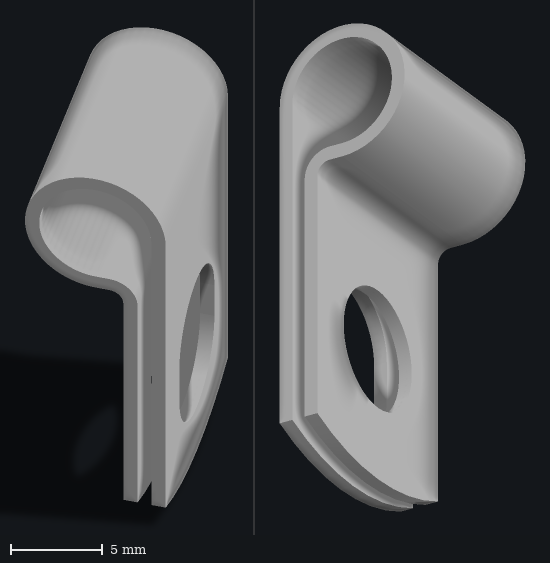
import cadquery as cq
import math

height = 24.55
width = 12.7
loop_diameter = 7.98
thickness = 0.8
leg_gap = 0.79
bend_inner_radius = 0.79
hole_diameter = 7.15
hole_height = 7.93
slot_offset = 1.13
end_sagitta = 1.33

outer_radius = loop_diameter / 2
inner_radius = outer_radius - thickness
bottom = outer_radius - height
short_leg_right = inner_radius - leg_gap
short_leg_left = short_leg_right - thickness
bend_outer_radius = bend_inner_radius + thickness
bend_x = short_leg_right - bend_outer_radius
bend_z = -inner_radius - bend_outer_radius
diagonal = math.sqrt(0.5)


def make_strip():
    """Bent strip: long leg, loop, bend and short leg, centred in Y."""
    bend_mid_outer = bend_outer_radius * diagonal
    bend_mid_inner = bend_inner_radius * diagonal
    loop_mid_outer = outer_radius * diagonal
    loop_mid_inner = inner_radius * diagonal
    return (
        cq.Workplane("XZ")
        .moveTo(outer_radius, bottom)
        .lineTo(outer_radius, 0)
        .threePointArc((-loop_mid_outer, loop_mid_outer), (0, -outer_radius))
        .lineTo(bend_x, -outer_radius)
        .threePointArc(
            (bend_x + bend_mid_inner, bend_z + bend_mid_inner),
            (short_leg_left, bend_z),
        )
        .lineTo(short_leg_left, bottom)
        .lineTo(short_leg_right, bottom)
        .lineTo(short_leg_right, bend_z)
        .threePointArc(
            (bend_x + bend_mid_outer, bend_z + bend_mid_outer),
            (bend_x, -inner_radius),
        )
        .lineTo(0, -inner_radius)
        .threePointArc((-loop_mid_inner, loop_mid_inner), (inner_radius, 0))
        .lineTo(inner_radius, bottom)
        .close()
        .extrude(width / 2, both=True)
    )


def make_side_outline():
    """Block with a rounded lower end, used to trim both leg ends."""
    half_width = width / 2
    return (
        cq.Workplane("YZ")
        .moveTo(-half_width, outer_radius)
        .lineTo(-half_width, bottom + end_sagitta)
        .threePointArc((0, bottom), (half_width, bottom + end_sagitta))
        .lineTo(half_width, outer_radius)
        .close()
        .extrude(loop_diameter, both=True)
    )


def make_screw_openings():
    """Round hole through the short leg and upright slot through the long leg."""
    leg_plane = cq.Workplane("YZ", origin=(0, 0, bottom + hole_height))
    hole_end = short_leg_right + leg_gap / 2
    hole = leg_plane.circle(hole_diameter / 2).extrude(hole_end)
    slot_length = hole_diameter + 2 * slot_offset
    slot = (
        leg_plane.workplane(offset=hole_end)
        .slot2D(slot_length, hole_diameter, angle=90)
        .extrude(loop_diameter)
    )
    return hole.union(slot)


result = make_strip().intersect(make_side_outline()).cut(make_screw_openings())